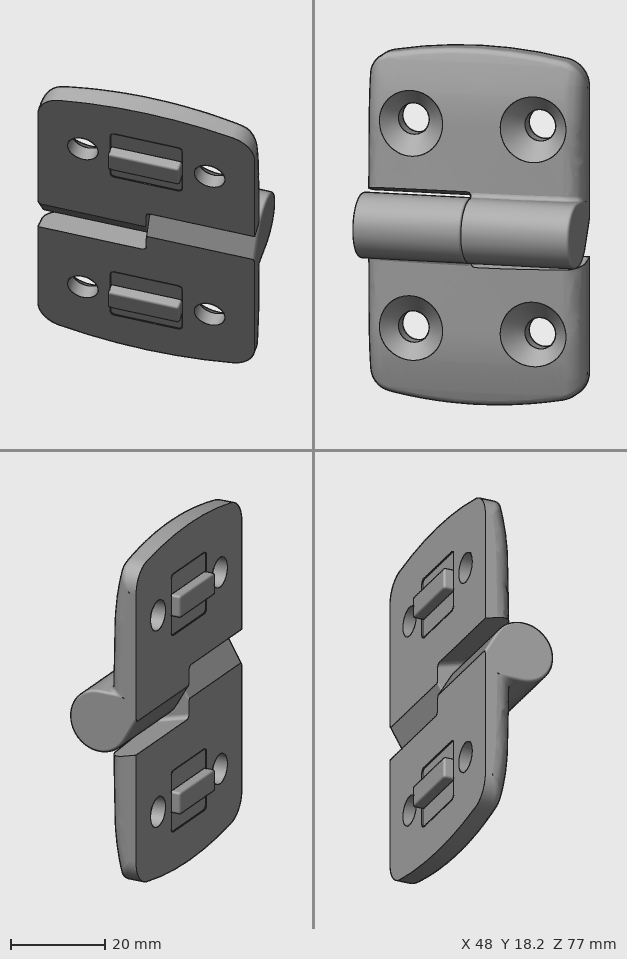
import cadquery as cq
import math


WIDTH = 48.0
HEIGHT = 77.0
HALF_WIDTH = WIDTH / 2
LEAF_END = HEIGHT / 2
END_ARC_RADIUS = 100.1
CORNER_RADIUS = 6.0
LEAF_START = 4.6

BACK_HEIGHT = 8.2
CROWN_RADIUS = 200.2
EDGE_ROUNDING = 4.15
BEND_START = 22.5
BEND_RADIUS = 50.8
BACK_SLOPE = 1.1
BEND_ANGLE = 24.0
END_EDGE_RADIUS = 1.5

BARREL_RADIUS = 7.0
BARREL_AXIS_Y = 9.0
KNUCKLE_FOOT_Z = 1.55
OUTER_END_RADIUS = 0.6
INNER_END_RADIUS = 0.42
ROOT_RADIUS = 0.9

CLEARANCE_Z = 6.0
CLEARANCE_SLOPE = 15.0
CLEARANCE_CORNER_RADIUS = 1.0

HOLE_DIAMETER = 6.8
HOLE_X = 14.0
FIXING_Z = 22.5
COUNTERSINK_START_Y = 3.4

POCKET_WIDTH = 15.95
POCKET_HEIGHT = 14.0
POCKET_DEPTH = 2.0
POCKET_CORNER_RADIUS = 1.0
INSERT_GAP = 0.1
INSERT_RECESS = 0.2
BAR_HEIGHT = 4.9
BAR_PROJECTION = 2.15
BAR_EDGE_RADIUS = 0.55


def side_end_z():
    """Height at which the straight side runs into the rounded corner."""
    arc_centre_z = LEAF_END - END_ARC_RADIUS
    return arc_centre_z + math.sqrt(
        (END_ARC_RADIUS - CORNER_RADIUS) ** 2 - (HALF_WIDTH - CORNER_RADIUS) ** 2
    )


def outline_prism():
    """Front outline of a leaf with an arched end and rounded corners."""
    arc_centre_z = LEAF_END - END_ARC_RADIUS
    side_end = arc_centre_z + math.sqrt(END_ARC_RADIUS**2 - HALF_WIDTH**2)
    depth = 2 * BACK_HEIGHT
    return (
        cq.Workplane("XZ")
        .moveTo(-HALF_WIDTH, LEAF_START)
        .lineTo(-HALF_WIDTH, side_end)
        .threePointArc((0, LEAF_END), (HALF_WIDTH, side_end))
        .lineTo(HALF_WIDTH, LEAF_START)
        .close()
        .extrude(-depth)
        .edges("|Y")
        .edges(">Z")
        .fillet(CORNER_RADIUS)
    )


def dome():
    """Crowned cross-section carried straight up the leaf and then round the bend."""
    crown_drop = CROWN_RADIUS - math.sqrt(CROWN_RADIUS**2 - HALF_WIDTH**2)
    base = -2 * BACK_HEIGHT
    slope = math.radians(BACK_SLOPE)
    bend = slope + math.radians(BEND_ANGLE)
    middle = slope + math.radians(BEND_ANGLE) / 2
    straight_end = (BACK_HEIGHT - BEND_START * math.tan(slope), BEND_START)
    centre_y = straight_end[0] - BEND_RADIUS * math.cos(slope)
    centre_z = straight_end[1] - BEND_RADIUS * math.sin(slope)

    def on_bend(angle):
        return (centre_y + BEND_RADIUS * math.cos(angle), centre_z + BEND_RADIUS * math.sin(angle))

    path = (
        cq.Workplane("YZ")
        .moveTo(BACK_HEIGHT, 0)
        .lineTo(*straight_end)
        .threePointArc(on_bend(middle), on_bend(bend))
    )
    section = (
        cq.Workplane("XY")
        .moveTo(-HALF_WIDTH, base)
        .lineTo(-HALF_WIDTH, BACK_HEIGHT - crown_drop)
        .threePointArc((0, BACK_HEIGHT), (HALF_WIDTH, BACK_HEIGHT - crown_drop))
        .lineTo(HALF_WIDTH, base)
        .close()
        .extrude(0.8)
        .edges("|Z")
        .edges(">Y")
        .fillet(EDGE_ROUNDING)
        .faces("<Z")
        .wires()
        .toPending()
    )
    return section.sweep(path)


def plate():
    """Leaf without its knuckle, softened where the domed back meets the arched end."""
    blank = outline_prism().intersect(dome())
    end_zone = cq.selectors.BoxSelector(
        (-WIDTH, BACK_HEIGHT / 100, side_end_z()),
        (WIDTH, BACK_HEIGHT, HEIGHT),
    )
    return blank.edges(end_zone).fillet(END_EDGE_RADIUS)


def clearance():
    """Wedge under the sloping edge that leaves room for the other leaf's knuckle."""
    reach = 2 * BACK_HEIGHT
    rise = reach * math.tan(math.radians(CLEARANCE_SLOPE))
    return (
        cq.Workplane("YZ")
        .moveTo(0, -CLEARANCE_Z)
        .lineTo(0, CLEARANCE_Z)
        .lineTo(reach, CLEARANCE_Z + rise)
        .lineTo(reach, -CLEARANCE_Z)
        .close()
        .extrude(WIDTH)
        .edges("<X")
        .edges(">Z")
        .fillet(CLEARANCE_CORNER_RADIUS)
    )


def knuckle():
    """Barrel half with a flat top and an underside tangent to the barrel."""
    foot_distance = math.hypot(BARREL_AXIS_Y, KNUCKLE_FOOT_Z)
    foot_direction = math.atan2(KNUCKLE_FOOT_Z, -BARREL_AXIS_Y)
    tangent_direction = foot_direction + math.acos(BARREL_RADIUS / foot_distance)
    tangent_point = (
        BARREL_AXIS_Y + BARREL_RADIUS * math.cos(tangent_direction),
        BARREL_RADIUS * math.sin(tangent_direction),
    )
    body = (
        cq.Workplane("YZ")
        .moveTo(0, KNUCKLE_FOOT_Z)
        .lineTo(*tangent_point)
        .threePointArc((BARREL_AXIS_Y + BARREL_RADIUS, 0), (BARREL_AXIS_Y, BARREL_RADIUS))
        .lineTo(0, BARREL_RADIUS)
        .close()
        .extrude(-HALF_WIDTH)
    )
    rounded_edges = "(not <Y) and (not |X)"
    body = body.faces("<X").edges(rounded_edges).fillet(OUTER_END_RADIUS)
    return body.faces(">X").edges(rounded_edges).fillet(INNER_END_RADIUS)


def screw_hole_cutter(x):
    """Through hole that opens into a 90 degree countersink in the domed back."""
    hole_radius = HOLE_DIAMETER / 2
    back = 2 * BACK_HEIGHT
    mouth_radius = hole_radius + back - COUNTERSINK_START_Y
    half_profile = (
        cq.Workplane("XY")
        .polyline(
            [(0, 0), (hole_radius, 0), (hole_radius, COUNTERSINK_START_Y), (mouth_radius, back), (0, back)]
        )
        .close()
    )
    return half_profile.revolve(360, (0, 0), (0, 1)).translate((x, 0, FIXING_Z))


def block(width, height, start_y, end_y):
    """Rectangular block centred on the insert position between two Y levels."""
    return (
        cq.Workplane("XZ", origin=(0, start_y, FIXING_Z))
        .rect(width, height)
        .extrude(start_y - end_y)
    )


def root_edges():
    """Selector for the inner corner where the domed back rises from the flat top of the knuckle."""
    half_band = ROOT_RADIUS / 10
    return cq.selectors.BoxSelector(
        (-HALF_WIDTH, BARREL_AXIS_Y / 2, BARREL_RADIUS - half_band),
        (-INNER_END_RADIUS / 2, BARREL_AXIS_Y - half_band, BARREL_RADIUS + half_band),
    )


def make_leaf():
    """Plate and knuckle in one piece, with the root rounded and all openings cut."""
    leaf = plate().cut(clearance()).union(knuckle())
    leaf = leaf.edges(root_edges()).fillet(ROOT_RADIUS)
    for x in (-HOLE_X, HOLE_X):
        leaf = leaf.cut(screw_hole_cutter(x))
    pocket = block(POCKET_WIDTH, POCKET_HEIGHT, 0, POCKET_DEPTH).edges("|Y").fillet(POCKET_CORNER_RADIUS)
    return leaf.cut(pocket)


def make_insert():
    """Pad on the pocket floor with a raised bar that locates the leaf in a slot."""
    width = POCKET_WIDTH - 2 * INSERT_GAP
    pad = (
        block(width, POCKET_HEIGHT - 2 * INSERT_GAP, INSERT_RECESS, POCKET_DEPTH)
        .edges("|Y")
        .fillet(POCKET_CORNER_RADIUS - INSERT_GAP)
    )
    bar = (
        block(width, BAR_HEIGHT, -BAR_PROJECTION, POCKET_DEPTH)
        .edges("|Y or <Y")
        .fillet(BAR_EDGE_RADIUS)
    )
    return pad.union(bar)


bodies = []
for turn in (0, 180):
    for body in (make_leaf(), make_insert()):
        bodies.append(body.rotate((0, 0, 0), (0, 1, 0), turn).val())

result = cq.Compound.makeCompound(bodies)